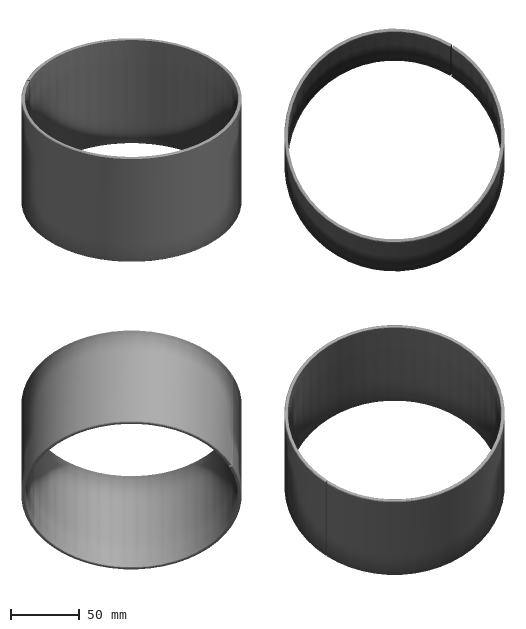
import cadquery as cq

outer_diameter = 160.0
height = 90.0
wall = 2.5
outer_chamfer = 0.5
inner_chamfer = 0.3
slit_width = 1.3

outer_radius = outer_diameter / 2
inner_radius = outer_radius - wall


def make_sleeve():
    """Thin tube with the inner and outer edges of each rim chamfered."""
    tube = cq.Workplane("XY").circle(outer_radius).circle(inner_radius).extrude(height)
    for rim in ("<Z", ">Z"):
        tube = tube.faces(rim).edges(cq.selectors.RadiusNthSelector(1)).chamfer(outer_chamfer)
        tube = tube.faces(rim).edges(cq.selectors.RadiusNthSelector(0)).chamfer(inner_chamfer)
    return tube


def make_slit():
    """Full-height cutter through the -X wall, with one face on the XZ plane."""
    slit_length = 2 * wall
    wall_center = outer_radius - wall / 2
    cutter = cq.Workplane("XY").box(slit_length, slit_width, height, centered=(True, False, False))
    return cutter.translate((-wall_center, 0, 0))


result = make_sleeve().cut(make_slit())